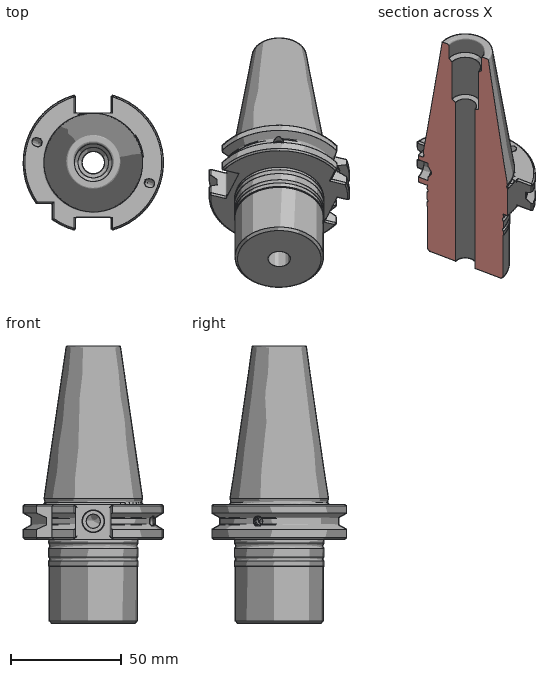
import cadquery as cq
import math

cut_margin = 1.3
pick_margin = 0.1

total_height = 125.2
flange_bottom = 38.0
flange_top = 53.7
flange_radius = 31.7
flange_edge = 0.8

shank_diameter = 40.0
shank_radius = shank_diameter / 2
shank_end_chamfer = 1.1
collar_diameter = 40.5
collar_radius = collar_diameter / 2
collar_bottom = 25.9
ring_groove_bottom = 28.0
ring_groove_top = 30.0
neck_groove_bottom = 33.8
neck_groove_top = 36.2
groove_bevel_height = 0.4
groove_sag = 0.3
neck_land_top = 37.0

taper_ratio = 7 / 24 / 2
taper_bottom = 56.4
taper_base_radius = 22.3
taper_top_radius = taper_base_radius - taper_ratio * (total_height - taper_bottom)
taper_tip_round = 0.9
relief_radius = 21.9
relief_top = 55.1
relief_foot_round = 0.9

through_diameter = 10.0
thread_diameter = 13.8
thread_bottom = 94.0
counterbore_diameter = 17.0
counterbore_depth = 8.1
counterbore_cone_height = 1.5
mouth_round = 1.0

groove_height = 46.1
groove_root_radius = 28.0
groove_root_half_width = 1.6
groove_root_fillet = 0.5
groove_flank_angle = 30

slot_width = 16.0
front_slot_floor = 24.7
back_slot_floor = 22.4
slot_corner_radius = 0.6
slot_edge_chamfer = 0.8
notch_x = 18.5
notch_y = 18.5
notch_corner_radius = 0.5

screw_mouth_diameter = 10.1
screw_head_depth = 5.0
screw_tip_diameter = 6.0
screw_hole_bevel = 0.19
drill_point_angle = 118

coolant_x = 25.4
coolant_y = 9.3
coolant_diameter = 3.9
coolant_tilt = 36
plug_diameter = 4.5
plug_depth = 1.9
plug_bore_diameter = 3.3


def collar_groove(profile, bottom, top):
    """Continue the outline up through a shallow round-bottomed groove in the collar."""
    return (
        profile.lineTo(collar_radius, bottom)
        .lineTo(shank_radius, bottom + groove_bevel_height)
        .threePointArc(
            (shank_radius - groove_sag, (bottom + top) / 2),
            (shank_radius, top - groove_bevel_height),
        )
        .lineTo(collar_radius, top)
    )


def shank_and_taper():
    foot_inset = relief_foot_round * (1 - math.sqrt(0.5))
    profile = (
        cq.Workplane("XZ")
        .lineTo(shank_radius - shank_end_chamfer, 0)
        .lineTo(shank_radius, shank_end_chamfer)
        .lineTo(shank_radius, collar_bottom - groove_bevel_height)
        .lineTo(collar_radius, collar_bottom)
    )
    profile = collar_groove(profile, ring_groove_bottom, ring_groove_top)
    profile = collar_groove(profile, neck_groove_bottom, neck_groove_top)
    profile = (
        profile.lineTo(collar_radius, neck_land_top)
        .lineTo(shank_radius, flange_bottom)
        .lineTo(shank_radius, flange_top)
        .lineTo(relief_radius + relief_foot_round, flange_top)
        .threePointArc(
            (relief_radius + foot_inset, flange_top + foot_inset),
            (relief_radius, flange_top + relief_foot_round),
        )
        .lineTo(relief_radius, relief_top)
        .lineTo(taper_base_radius, taper_bottom)
        .lineTo(taper_top_radius, total_height)
        .lineTo(0, total_height)
        .close()
    )
    body = profile.revolve(360, (0, 0), (0, 1))
    return body.faces(">Z").edges().fillet(taper_tip_round)


def flange_pocket(x_min, x_max, y_min, y_max):
    height = relief_top - flange_bottom
    pocket = cq.Workplane("XY").box(x_max - x_min, y_max - y_min, height, centered=False)
    return pocket.translate((x_min, y_min, flange_bottom))


def back_slot():
    return flange_pocket(-slot_width / 2, slot_width / 2, back_slot_floor, flange_radius + cut_margin)


def flange():
    outside = flange_radius + cut_margin
    half_slot = slot_width / 2
    disc = cq.Workplane("XY").workplane(offset=flange_bottom).circle(flange_radius)
    body = disc.extrude(flange_top - flange_bottom)
    body = body.cut(flange_pocket(-half_slot, half_slot, -outside, -front_slot_floor))
    body = body.cut(back_slot())
    body = body.cut(flange_pocket(-outside, -notch_x, -outside, -notch_y))

    mouth_y = math.sqrt(flange_radius**2 - half_slot**2)
    for side_x in (-half_slot, half_slot):
        for side_y in (-mouth_y, mouth_y):
            mouth = cq.selectors.NearestToPointSelector((side_x, side_y, groove_height))
            body = body.edges("|Z").edges(mouth).chamfer(slot_edge_chamfer)

    slot_floors = cq.selectors.BoxSelector(
        (-pick_margin, -front_slot_floor - pick_margin, 0),
        (pick_margin, back_slot_floor + pick_margin, total_height),
    )
    all_but_floors = cq.selectors.SubtractSelector(cq.selectors.Selector(), slot_floors)
    for rim in ("<Z", ">Z"):
        body = body.faces(rim).edges(all_but_floors).chamfer(flange_edge)

    for floor_y in (-front_slot_floor, back_slot_floor):
        corners = cq.selectors.BoxSelector(
            (-half_slot - pick_margin, floor_y - pick_margin, flange_bottom),
            (half_slot + pick_margin, floor_y + pick_margin, flange_top),
        )
        body = body.edges("|Z").edges(corners).fillet(slot_corner_radius)
    notch_corner = cq.selectors.NearestToPointSelector((-notch_x, -notch_y, groove_height))
    body = body.edges("|Z").edges(notch_corner).fillet(notch_corner_radius)
    return body


def v_groove():
    outside = flange_radius + cut_margin
    rise = (outside - groove_root_radius) * math.tan(math.radians(groove_flank_angle))
    low = groove_height - groove_root_half_width
    high = groove_height + groove_root_half_width
    profile = [
        (groove_root_radius, low),
        (outside, low - rise),
        (outside, high + rise),
        (groove_root_radius, high),
    ]
    ring = cq.Workplane("XZ").polyline(profile).close().revolve(360, (0, 0), (0, 1))
    root_edges = cq.selectors.BoxSelector(
        (-outside, -outside, low - pick_margin),
        (outside, outside, high + pick_margin),
        boundingbox=True,
    )
    return ring.edges(root_edges).fillet(groove_root_fillet)


def axial_bore():
    through_radius = through_diameter / 2
    thread_radius = thread_diameter / 2
    counterbore_radius = counterbore_diameter / 2
    counterbore_bottom = total_height - counterbore_depth
    drill_slope = math.tan(math.radians(drill_point_angle / 2))
    thread_point = (thread_radius - through_radius) / drill_slope
    arc_inset = mouth_round * (1 - math.sqrt(0.5))
    profile = (
        cq.Workplane("XZ")
        .lineTo(through_radius, 0)
        .lineTo(through_radius, thread_bottom - thread_point)
        .lineTo(thread_radius, thread_bottom)
        .lineTo(thread_radius, counterbore_bottom - counterbore_cone_height)
        .lineTo(counterbore_radius, counterbore_bottom)
        .lineTo(counterbore_radius, total_height - mouth_round)
        .threePointArc(
            (counterbore_radius + arc_inset, total_height - arc_inset),
            (counterbore_radius + mouth_round, total_height),
        )
        .lineTo(0, total_height)
        .close()
    )
    return profile.revolve(360, (0, 0), (0, 1))


def cylinder(start, direction, diameter, length):
    solid = cq.Solid.makeCylinder(diameter / 2, length, cq.Vector(*start), cq.Vector(*direction))
    return cq.Workplane(solid)


def screw_hole():
    mouth_radius = screw_mouth_diameter / 2
    head_radius = mouth_radius - screw_hole_bevel
    tip_radius = screw_tip_diameter / 2
    tip_start = screw_head_depth + screw_hole_bevel
    tip_end = tip_start + tip_radius / math.tan(math.radians(drill_point_angle / 2))
    profile = [
        (0, 0),
        (mouth_radius, 0),
        (head_radius, screw_hole_bevel),
        (head_radius, screw_head_depth),
        (tip_radius + screw_hole_bevel, screw_head_depth),
        (tip_radius, tip_start),
        (0, tip_end),
    ]
    hole = cq.Workplane("XY").polyline(profile).close().revolve(360, (0, 0), (0, 1))
    return hole.translate((0, -front_slot_floor, groove_height))


def coolant_hole():
    """Inclined hole from the flange top meeting a radial hole drilled from the groove."""
    reach = math.hypot(coolant_x, coolant_y)
    out_x = -coolant_x / reach
    out_y = coolant_y / reach
    tilt = math.radians(coolant_tilt)
    drop = flange_top - groove_height
    inner_reach = reach - drop * math.tan(tilt)

    slope = (out_x * math.sin(tilt), out_y * math.sin(tilt), math.cos(tilt))
    inner_end = (out_x * inner_reach, out_y * inner_reach, groove_height)
    inclined = cylinder(inner_end, slope, coolant_diameter, drop / math.cos(tilt) + cut_margin)
    radial = (out_x, out_y, 0)
    bore = cylinder(inner_end, radial, plug_bore_diameter, flange_radius - inner_reach)
    plug_reach = groove_root_radius - plug_depth
    plug_end = (out_x * plug_reach, out_y * plug_reach, groove_height)
    plug = cylinder(plug_end, radial, plug_diameter, flange_radius - plug_reach)
    return inclined.union(bore).union(plug)


body = shank_and_taper().cut(back_slot()).union(flange())
body = body.cut(v_groove()).cut(axial_bore()).cut(screw_hole())
for turn in (0, 180):
    body = body.cut(coolant_hole().rotate((0, 0, 0), (0, 0, 1), turn))

result = body